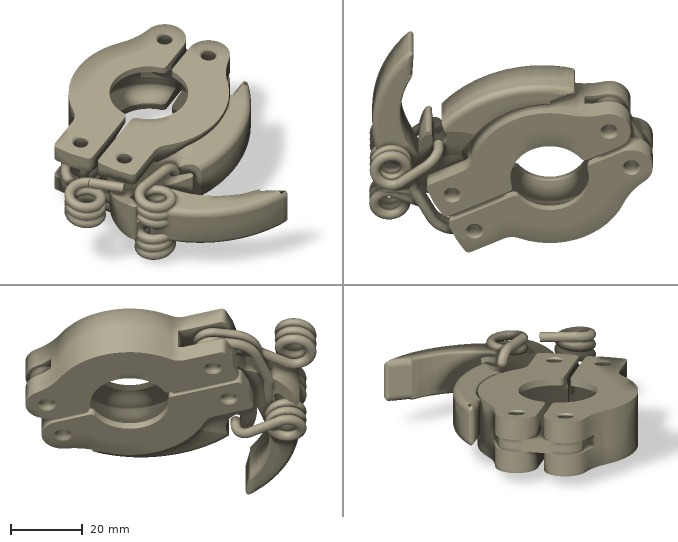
import cadquery as cq
import math


height = 15.9
half_gap = 1.0
ring_radius = 22.4
bore_radius = 11.0
groove_radius = 17.4
lip_height = 2.0
groove_slope = 1.3
groove_fillet = 0.65
hinge_x = 7.0
rear_hinge_y = 22.0
front_hinge_y = -27.0
ear_radius = hinge_x - half_gap
ear_blend_radius = 19.0
arm_edge_x = 12.95
arm_blend_radius = 5.0
arm_bottom_y = -32.8
arm_bottom_rise = 0.5
gap_corner_radius = 1.4

bore_y = math.sqrt(bore_radius**2 - half_gap**2)
arm_corner_y = arm_bottom_y + arm_bottom_rise

pin_diameter = 5.4
pin_mouth_diameter = 5.0
pin_bore_diameter = 4.1
link_thickness = 3.6
link_radius = 5.0
link_pocket_radius = 8.5
front_slot_height = 6.1
front_slot_end_y = -18.8
slot_reach = 48.6

lever_bottom_z = -4.45
lever_top_z = 7.7
hub_radius = 6.15
hub_bottom_z = -1.0
hub_top_z = 4.2
flare_start_radius = 8.9
flare_end_radius = 19.35
lever_reach = 56.7
tip_inner_x = 13.0
tip_start_y = 37.6
tip_end_y = 45.35
outer_edge_fillet = 1.95
inner_edge_fillet = 0.65
open_swing = -60.5
touch_tolerance = 0.001

wire_diameter = 2.75
wire_radius = wire_diameter / 2
coil_radius = 4.45
coil_top_z = 10.0
strand_z = 1.6
loop_radius = 4.1
loop_exit_angle = 208.0
loop_end_angle = -12.0
tail_length = 2.1
strand_y = front_hinge_y - 10.8
strand_bend_radius = 7.7
closed_coil = (hinge_x + 15.95, front_hinge_y - 11.25)
closed_coil_start = 168.0
closed_strand_end_x = hinge_x + 3.2
closed_lead_x = hinge_x + 2.6
open_coil = (hinge_x - 1.5, front_hinge_y - 20.2)
open_coil_start = 105.0
open_lead_x = 1.0
hook_reach = 13.6
hook_bend_radius = 4.85
hook_tip_z = 3.2
joint_swell = 0.04
joint_radius = wire_radius + joint_swell
open_arm_length = 10.05

diagonal = math.sqrt(0.5)


def polar(centre, radius, degrees):
    """The point at an angle and distance from a centre in the XY plane."""
    angle = math.radians(degrees)
    return (centre[0] + radius * math.cos(angle), centre[1] + radius * math.sin(angle))


def half_outline():
    """Outline of the half ring on the +X side."""
    ear = (hinge_x, rear_hinge_y)

    ear_distance = math.hypot(*ear)
    to_ring = ring_radius + ear_blend_radius
    to_ear = ear_radius + ear_blend_radius
    cosine = (ear_distance**2 + to_ring**2 - to_ear**2) / (2 * ear_distance * to_ring)
    ear_angle = math.degrees(math.atan2(ear[1], ear[0]))
    ring_angle = ear_angle - math.degrees(math.acos(cosine))
    blend = polar((0, 0), to_ring, ring_angle)
    ear_touch_angle = math.degrees(math.atan2(blend[1] - ear[1], blend[0] - ear[0]))
    ear_touch = polar(ear, ear_radius, ear_touch_angle)
    ring_touch = polar((0, 0), ring_radius, ring_angle)
    blend_middle_angle = (ear_touch_angle + 180 + ring_angle + 180) / 2
    blend_middle = polar(blend, ear_blend_radius, blend_middle_angle)

    arm_blend_x = arm_edge_x + arm_blend_radius
    arm_blend_y = -math.sqrt((ring_radius + arm_blend_radius) ** 2 - arm_blend_x**2)
    arm_angle = math.degrees(math.atan2(arm_blend_y, arm_blend_x))
    arm_blend = (arm_blend_x, arm_blend_y)
    arm_touch = polar((0, 0), ring_radius, arm_angle)
    arm_middle = polar(arm_blend, arm_blend_radius, (180 + 180 + arm_angle) / 2)
    ear_middle = polar(ear, ear_radius, (180 + ear_touch_angle) / 2)
    return (
        cq.Workplane("XY", origin=(0, 0, -height / 2))
        .moveTo(half_gap, bore_y)
        .lineTo(half_gap, rear_hinge_y)
        .threePointArc(ear_middle, ear_touch)
        .threePointArc(blend_middle, ring_touch)
        .threePointArc((ring_radius, 0), arm_touch)
        .threePointArc(arm_middle, (arm_edge_x, arm_blend_y))
        .lineTo(arm_edge_x, arm_corner_y)
        .lineTo(hinge_x, arm_bottom_y)
        .lineTo(half_gap, arm_corner_y)
        .lineTo(half_gap, -bore_y)
        .threePointArc((bore_radius, 0), (half_gap, bore_y))
        .close()
    )


def flange_groove():
    """Internal groove with sloping sides that grips the flanges."""
    mouth_z = height / 2 - lip_height
    wall_z = mouth_z - groove_slope
    return (
        cq.Workplane("XZ")
        .polyline(
            [
                (0, -mouth_z),
                (bore_radius, -mouth_z),
                (groove_radius, -wall_z),
                (groove_radius, wall_z),
                (bore_radius, mouth_z),
                (0, mouth_z),
            ]
        )
        .close()
        .revolve(360, (0, 0, 0), (0, 1, 0))
        .edges(cq.selectors.RadiusNthSelector(-1))
        .fillet(groove_fillet)
    )


def half_ring():
    """Half ring on the +X side with its hinge slots and pin holes."""
    body = half_outline().extrude(height)
    for x, y in [
        (half_gap, bore_y),
        (half_gap, -bore_y),
        (half_gap, arm_corner_y),
        (arm_edge_x, arm_corner_y),
    ]:
        body = body.edges(cq.NearestToPointSelector((x, y, 0))).fillet(gap_corner_radius)
    body = body.cut(flange_groove())

    link_slot = cq.Workplane("XY").box(slot_reach, slot_reach, link_thickness)
    link_slot = link_slot.translate((0, rear_hinge_y + slot_reach / 2, 0))
    link_pocket = cq.Workplane("XY").circle(link_pocket_radius).extrude(link_thickness / 2, both=True)
    link_slot = link_slot.union(link_pocket.translate((hinge_x, rear_hinge_y, 0)))
    front_slot = cq.Workplane("XY").box(slot_reach, slot_reach, front_slot_height)
    front_slot = front_slot.translate((0, front_slot_end_y - slot_reach / 2, 0))
    holes = (
        cq.Workplane("XY", origin=(0, 0, -height / 2))
        .pushPoints([(hinge_x, rear_hinge_y), (hinge_x, front_hinge_y)])
        .circle(pin_diameter / 2)
        .extrude(height)
    )
    return body.cut(link_slot).cut(front_slot).cut(holes)


def hinge_pin(x, y):
    """Tubular pin with a chamfered mouth at each end."""
    mouth_chamfer = (pin_mouth_diameter - pin_bore_diameter) / 2
    return (
        cq.Workplane("XY", origin=(x, y, -height / 2))
        .circle(pin_diameter / 2)
        .circle(pin_bore_diameter / 2)
        .extrude(height)
        .edges(cq.selectors.RadiusNthSelector(0))
        .chamfer(mouth_chamfer)
    )


def rear_link():
    """Flat bar with round ends that joins the two rear pins."""
    return (
        cq.Workplane("XY", origin=(0, rear_hinge_y, -link_thickness / 2))
        .slot2D(2 * (hinge_x + link_radius), 2 * link_radius)
        .pushPoints([(-hinge_x, 0), (hinge_x, 0)])
        .circle(pin_diameter / 2)
        .extrude(link_thickness)
    )


def edges_through(body, points):
    """The edges of a body that pass through the given points."""
    vertices = [cq.Vertex.makeVertex(*point) for point in points]
    return [
        edge
        for edge in body.edges().vals()
        if any(edge.distance(vertex) < touch_tolerance for vertex in vertices)
    ]


def lever_thickness():
    """Solid of revolution about the hub that is thin at the hub and flares out to full thickness."""
    return (
        cq.Workplane("XZ")
        .polyline(
            [
                (0, hub_bottom_z),
                (flare_start_radius, hub_bottom_z),
                (flare_end_radius, lever_bottom_z),
                (lever_reach, lever_bottom_z),
                (lever_reach, lever_top_z),
                (flare_end_radius, lever_top_z),
                (flare_start_radius, hub_top_z),
                (0, hub_top_z),
            ]
        )
        .close()
        .revolve(360, (0, 0, 0), (0, 1, 0))
    )


def tip_rounding():
    """Envelope that rounds the long edges and the end of the wing tip."""
    thickness = lever_top_z - lever_bottom_z
    whole = cq.Workplane("XY", origin=(0, 0, lever_bottom_z)).rect(2 * lever_reach, 2 * tip_start_y)
    tip = (
        cq.Workplane("XY", origin=(tip_inner_x, tip_end_y, lever_bottom_z))
        .rect(lever_reach, -lever_reach, centered=False)
        .extrude(thickness)
        .edges("<X or >Y")
        .edges("<Z or >Z")
        .fillet(outer_edge_fillet)
    )
    return whole.extrude(thickness).union(tip)


def lever_wing():
    """Hub, prong and curved wing in the closed position, with the hub axis at the origin."""
    inner_middle = (15.8, 25.9)
    outer_middle = (23.4, 22.2)
    tip_outer = (15.7, 44.0)
    tip_end = (14.5, tip_end_y)
    bevel_middle = ((tip_outer[0] + tip_end[0]) / 2, (tip_outer[1] + tip_end[1]) / 2)

    body = (
        cq.Workplane("XY", origin=(0, 0, lever_bottom_z))
        .moveTo(0, hub_radius)
        .lineTo(7.1, hub_radius)
        .threePointArc(inner_middle, (tip_inner_x, tip_start_y))
        .lineTo(tip_inner_x, 43.8)
        .threePointArc((13.45, 44.95), tip_end)
        .lineTo(*tip_outer)
        .threePointArc(outer_middle, (20.5, 7.0))
        .lineTo(17.5, 6.7)
        .threePointArc((14.8, 5.7), (13.45, 3.1))
        .threePointArc((13.7, 1.7), (14.7, 1.4))
        .lineTo(19.3, 3.3)
        .threePointArc((20.4, 2.6), (20.1, 1.5))
        .threePointArc((16.3, -2.3), (11.25, -4.3))
        .lineTo(3.8, -4.85)
        .threePointArc((-hub_radius, 0), (0, hub_radius))
        .close()
        .extrude(lever_top_z - lever_bottom_z)
    )
    faces_z = (lever_bottom_z, lever_top_z)
    outer_edges = edges_through(body, [(*point, z) for point in (outer_middle, bevel_middle) for z in faces_z])
    body = body.newObject(outer_edges).fillet(outer_edge_fillet)
    inner_edges = edges_through(body, [(*inner_middle, z) for z in faces_z])
    body = body.newObject(inner_edges).fillet(inner_edge_fillet)
    return body.intersect(tip_rounding()).intersect(lever_thickness())


def lever():
    """One hub that carries a closed wing and an open wing."""
    closed_wing = lever_wing()
    open_wing = closed_wing.rotate((0, 0, 0), (0, 0, 1), open_swing)
    pin_hole = cq.Workplane("XY").circle(pin_diameter / 2).extrude(height, both=True)
    return closed_wing.union(open_wing).cut(pin_hole).translate((hinge_x, front_hinge_y, 0))


def line(start, end):
    """Straight stretch of the wire's centre line."""
    return cq.Edge.makeLine(cq.Vector(*start), cq.Vector(*end))


def arc(start, middle, end):
    """Round bend of the wire's centre line."""
    return cq.Edge.makeThreePointArc(cq.Vector(*start), cq.Vector(*middle), cq.Vector(*end))


def wire_along(*edges):
    """Round wire along a smooth chain of edges."""
    path = cq.Wire.assembleEdges(edges)
    plane = cq.Plane(origin=path.startPoint(), normal=edges[0].tangentAt(0))
    return cq.Workplane(plane).circle(wire_radius).sweep(cq.Workplane(path))


def winding(centre, radius, low_angle, sweep_angle, low_z, high_z):
    """Helical coil that climbs from one height to another through a signed angle."""
    turns = abs(sweep_angle) / 360
    rise = high_z - low_z
    path = cq.Wire.makeHelix(rise / turns, rise, radius, lefthand=sweep_angle < 0)
    profile = cq.Workplane("XZ", origin=(radius, 0, 0)).circle(wire_radius)
    coil = profile.sweep(cq.Workplane(path), isFrenet=True)
    return coil.rotate((0, 0, 0), (0, 0, 1), low_angle).translate((*centre, low_z))


def joint(point):
    """Round knuckle where straight wire runs into a coil."""
    return cq.Workplane("XY").sphere(joint_radius).translate(point)


def strands():
    """Wire that comes in on the upper strand, hooks round the left front pin and goes back on the lower."""
    pin = (-hinge_x, front_hinge_y)
    exit_angle = math.radians(loop_exit_angle)
    middle_angle = (loop_exit_angle + 270) / 2

    bend_y = strand_y + strand_bend_radius
    offset = loop_radius - strand_bend_radius
    bend_x = pin[0] + (offset - (bend_y - pin[1]) * math.sin(exit_angle)) / math.cos(exit_angle)
    bend_start = (bend_x, strand_y)
    bend_middle = polar((bend_x, bend_y), strand_bend_radius, middle_angle)
    bend_end = polar((bend_x, bend_y), strand_bend_radius, loop_exit_angle)
    loop_start = polar(pin, loop_radius, loop_exit_angle)
    strand_end = (closed_strand_end_x, strand_y)

    tail_heading = loop_end_angle - 90
    loop_middle = polar(pin, loop_radius, (loop_exit_angle + loop_end_angle) / 2)
    loop_end = polar(pin, loop_radius, loop_end_angle)
    turn_start = polar(loop_end, tail_length, tail_heading)
    turn_middle = polar(turn_start, strand_z * diagonal, tail_heading)
    turn_end = polar(turn_start, strand_z, tail_heading)
    turn_middle_z = strand_z * diagonal

    upper = wire_along(
        line((*strand_end, strand_z), (*bend_start, strand_z)),
        arc((*bend_start, strand_z), (*bend_middle, strand_z), (*bend_end, strand_z)),
        line((*bend_end, strand_z), (*loop_start, strand_z)),
        arc((*loop_start, strand_z), (*loop_middle, strand_z), (*loop_end, strand_z)),
        line((*loop_end, strand_z), (*turn_start, strand_z)),
        arc((*turn_start, strand_z), (*turn_middle, turn_middle_z), (*turn_end, 0)),
    )
    return upper.union(upper.mirror("XY"))


def lead_and_coil(coil, start_angle, lead_x):
    """Straight lead from the upper strand and the coil of nearly three turns that it climbs into."""
    lead_start = (lead_x, strand_y)
    distance = math.dist(coil, lead_start)
    toward_lead = math.degrees(math.atan2(lead_start[1] - coil[1], lead_start[0] - coil[0]))
    exit_angle = toward_lead - math.degrees(math.acos(coil_radius / distance))
    sweep_angle = (start_angle - exit_angle) % 360 - 3 * 360
    coil_end = (*polar(coil, coil_radius, exit_angle), strand_z)
    coil_start = (*polar(coil, coil_radius, start_angle), coil_top_z)
    turns = winding(coil, coil_radius, exit_angle, sweep_angle, strand_z, coil_top_z)
    lead = wire_along(line((*lead_start, strand_z), coil_end))
    return turns.union(joint(coil_end)).union(joint(coil_start)).union(lead)


def closed_branch():
    """Lead, coil and straight arm that bends down into the notch of the closed wing."""
    heading = closed_coil_start - 90
    arm_start = polar(closed_coil, coil_radius, closed_coil_start)
    bend_start = polar(arm_start, hook_reach - hook_bend_radius, heading)
    bend_middle = polar(bend_start, hook_bend_radius * diagonal, heading)
    bend_end = polar(arm_start, hook_reach, heading)
    bend_middle_z = coil_top_z - hook_bend_radius * (1 - diagonal)
    bend_end_z = coil_top_z - hook_bend_radius
    arm = wire_along(
        line((*arm_start, coil_top_z), (*bend_start, coil_top_z)),
        arc((*bend_start, coil_top_z), (*bend_middle, bend_middle_z), (*bend_end, bend_end_z)),
        line((*bend_end, bend_end_z), (*bend_end, hook_tip_z)),
    )
    return lead_and_coil(closed_coil, closed_coil_start, closed_lead_x).union(arm)


def open_branch():
    """Lead, coil and plain straight arm that lies over the open wing."""
    arm_start = polar(open_coil, coil_radius, open_coil_start)
    arm_end = polar(arm_start, open_arm_length, open_coil_start - 90)
    arm = wire_along(line((*arm_start, coil_top_z), (*arm_end, coil_top_z)))
    return lead_and_coil(open_coil, open_coil_start, open_lead_x).union(arm)


def spring():
    """Looped wire with a closed coil on each strand and an open coil on the upper strand."""
    upper_closed = closed_branch()
    wire = strands()
    for branch in (upper_closed, upper_closed.mirror("XY"), open_branch()):
        wire = wire.union(branch, clean=False)
    return wire


right_half = half_ring()
left_half = right_half.mirror("YZ")
link = rear_link()
pins = [hinge_pin(x, y) for x in (-hinge_x, hinge_x) for y in (rear_hinge_y, front_hinge_y)]
wire_spring = spring()

swing_lever = lever().cut(wire_spring, clean=False)
right_half = right_half.cut(swing_lever)

bodies = [right_half, left_half, link, *pins, swing_lever, wire_spring]
result = cq.Compound.makeCompound([body.solids().val() for body in bodies])